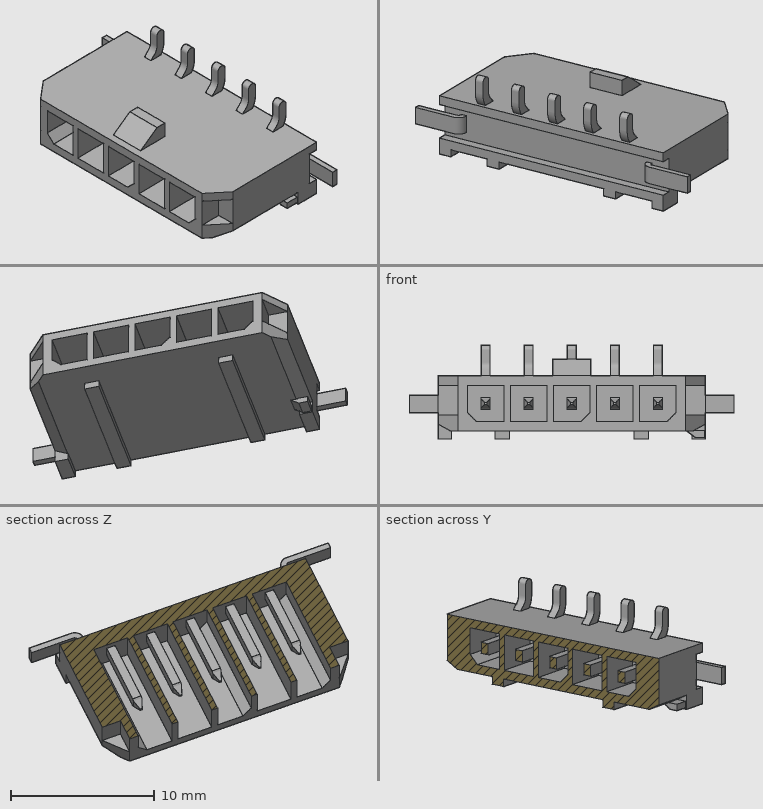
import cadquery as cq
import math


body_width = 18.63
body_depth = 9.95
body_height = 3.87
corner_x = 1.38
corner_y = 1.65
half_width = body_width / 2
mid_z = body_height / 2
overlap = 0.11

groove_depth = 0.7
groove_height = 2.54
pocket_bottom = 1.13
pocket_top = 3.2

foot_drop = 0.55
foot_width = 0.95
foot_length = 1.83
rib_width = 1.02
rib_length = 8.33
rib_offset = 4.85
bevel_width = 0.9
bevel_height = 0.5

lug_left = 8.01
lug_slope_end = 8.6
lug_right = 9.24
lug_drop = 0.43
lug_length = 1.0
lug_top = 0.05

contact_count = 5
contact_row_span = 12.0
pitch = contact_row_span / (contact_count - 1)
cavity_size = 2.54
cavity_corner = 0.63
cavity_wall = 2.04
keyed_corners = {0: -1, 2: 1, 4: 1}
wire = 0.63
pin_height = 0.84
pin_setback = 2.5
pin_taper = 0.15
pin_point = 0.63
pin_flat = 0.15

tail_rise = 2.13
bend_height = 0.9
tail_thickness = 0.7
bend_radius = 0.77
bend_angle = 45.0
tail_root = 0.68

latch_width = 2.67
latch_height = 1.15
latch_back = 6.97
latch_crest = 7.75
latch_toe = 9.37

tab_span = 22.65
tab_height = 1.25
tab_mid_z = 1.9
tab_thickness = 0.43
tab_bend_radius = 0.23
tab_leg_x = 7.92
tab_leg_length = 1.35


def block(x0, x1, y0, y1, z0, z1):
    """Box between two opposite corners."""
    return cq.Workplane("XY").box(x1 - x0, y1 - y0, z1 - z0, centered=False).translate((x0, y0, z0))


def extrude_x(profile, width, mid_x):
    """Extrude a closed YZ profile symmetrically about mid_x."""
    return profile.extrude(width / 2, both=True).translate((mid_x, 0, 0))


def make_housing():
    front = -body_depth
    outline = [
        (-half_width, 0),
        (half_width, 0),
        (half_width, front + corner_y),
        (half_width - corner_x, front),
        (corner_x - half_width, front),
        (-half_width, front + corner_y),
    ]
    housing = cq.Workplane("XY").polyline(outline).close().extrude(body_height)
    groove_bottom = mid_z - groove_height / 2
    groove_top = mid_z + groove_height / 2
    housing = housing.cut(block(-half_width, half_width, -groove_depth, 0, groove_bottom, groove_top))
    for side in (-1, 1):
        x0, x1 = sorted((side * (half_width - corner_x), side * half_width))
        housing = housing.cut(block(x0, x1, front, front + corner_y, pocket_bottom, pocket_top))
        bevel = [
            (side * half_width, 0),
            (side * half_width, bevel_height),
            (side * (half_width - bevel_width), 0),
        ]
        bevel_cut = cq.Workplane("XZ").polyline(bevel).close().extrude(body_depth - foot_length)
        housing = housing.cut(bevel_cut.translate((0, -foot_length, 0)))
    return housing


def make_cavity(index, mid_x):
    half = cavity_size / 2
    cavity = block(mid_x - half, mid_x + half, -body_depth, -cavity_wall, mid_z - half, mid_z + half)
    if index in keyed_corners:
        corner = "<X and <Z" if keyed_corners[index] < 0 else ">X and <Z"
        cavity = cavity.edges("|Y").edges(corner).chamfer(cavity_corner)
    return cavity


def make_pin(mid_x):
    """Straight pin whose end narrows in height and then comes to a blunt point."""
    tip = pin_setback - body_depth
    taper_start = tip + pin_point + pin_taper
    shank = block(
        mid_x - wire / 2, mid_x + wire / 2,
        taper_start, overlap - cavity_wall,
        mid_z - pin_height / 2, mid_z + pin_height / 2,
    )
    neck = (
        cq.Workplane("XZ", origin=(mid_x, taper_start, mid_z))
        .rect(wire, pin_height)
        .workplane(offset=pin_taper)
        .rect(wire, wire)
        .loft(ruled=True)
    )
    point = (
        cq.Workplane("XZ", origin=(mid_x, taper_start - pin_taper, mid_z))
        .rect(wire, wire)
        .workplane(offset=pin_point)
        .rect(pin_flat, pin_flat)
        .loft(ruled=True)
    )
    return shank.union(neck).union(point)


def make_tail(mid_x):
    """Upright tail with a round end, bent forward and down into the housing."""
    bend_y = -tail_thickness - bend_radius
    bend_z = body_height + bend_height
    shoulder_z = body_height + tail_rise - tail_thickness / 2
    outer_radius = bend_radius + tail_thickness
    angle = math.radians(bend_angle)

    def on_bend(radius, turn):
        return (bend_y + radius * math.cos(turn), bend_z - radius * math.sin(turn))

    def root(radius):
        y, z = on_bend(radius, angle)
        return (y - tail_root * math.sin(angle), z - tail_root * math.cos(angle))

    profile = (
        cq.Workplane("YZ")
        .moveTo(0, bend_z)
        .lineTo(0, shoulder_z)
        .threePointArc((-tail_thickness / 2, shoulder_z + tail_thickness / 2), (-tail_thickness, shoulder_z))
        .lineTo(-tail_thickness, bend_z)
        .threePointArc(on_bend(bend_radius, angle / 2), on_bend(bend_radius, angle))
        .lineTo(*root(bend_radius))
        .lineTo(*root(outer_radius))
        .lineTo(*on_bend(outer_radius, angle))
        .threePointArc(on_bend(outer_radius, angle / 2), (0, bend_z))
        .close()
    )
    return extrude_x(profile, wire, mid_x)


def make_latch():
    top = body_height + latch_height
    profile = [
        (-latch_back, body_height - overlap),
        (-latch_back, top),
        (-latch_crest, top),
        (-latch_toe, body_height),
        (-latch_toe, body_height - overlap),
    ]
    return extrude_x(cq.Workplane("YZ").polyline(profile).close(), latch_width, 0)


def make_tab():
    """Left tab: a plate along the rear that bends forward into the housing."""
    profile = (
        cq.Workplane("XY")
        .moveTo(-tab_span / 2, 0)
        .lineTo(-tab_span / 2, -tab_thickness)
        .lineTo(-tab_leg_x - tab_bend_radius, -tab_thickness)
        .radiusArc((-tab_leg_x, -tab_thickness - tab_bend_radius), tab_bend_radius)
        .lineTo(-tab_leg_x, -tab_leg_length)
        .lineTo(-tab_leg_x + tab_thickness, -tab_leg_length)
        .lineTo(-tab_leg_x + tab_thickness, -tab_thickness - tab_bend_radius)
        .radiusArc((-tab_leg_x - tab_bend_radius, 0), -tab_thickness - tab_bend_radius)
        .close()
    )
    return profile.extrude(tab_height).translate((0, 0, tab_mid_z - tab_height / 2))


def make_supports():
    """Corner feet at the rear and two long ribs under the housing."""
    foot_x = half_width - foot_width / 2
    supports = cq.Workplane("XY")
    for mid_x, width, length in (
        (foot_x, foot_width, foot_length),
        (rib_offset, rib_width, rib_length),
    ):
        for side in (-1, 1):
            x0 = side * mid_x - width / 2
            supports = supports.union(block(x0, x0 + width, -length, 0, -foot_drop, overlap))
    return supports


def make_lug():
    profile = [
        (lug_left, lug_top),
        (lug_left, 0),
        (lug_slope_end, -lug_drop),
        (lug_right, -lug_drop),
        (lug_right, lug_top),
    ]
    lug = cq.Workplane("XZ").polyline(profile).close().extrude(lug_length)
    return lug.translate((0, -foot_length, 0))


contact_xs = [index * pitch - contact_row_span / 2 for index in range(contact_count)]

result = make_housing()
for index, x in enumerate(contact_xs):
    result = result.cut(make_cavity(index, x))
for x in contact_xs:
    result = result.union(make_pin(x)).union(make_tail(x))

left_tab = make_tab()
result = result.union(left_tab).union(left_tab.mirror("YZ"))
result = result.union(make_supports()).union(make_lug()).union(make_latch())